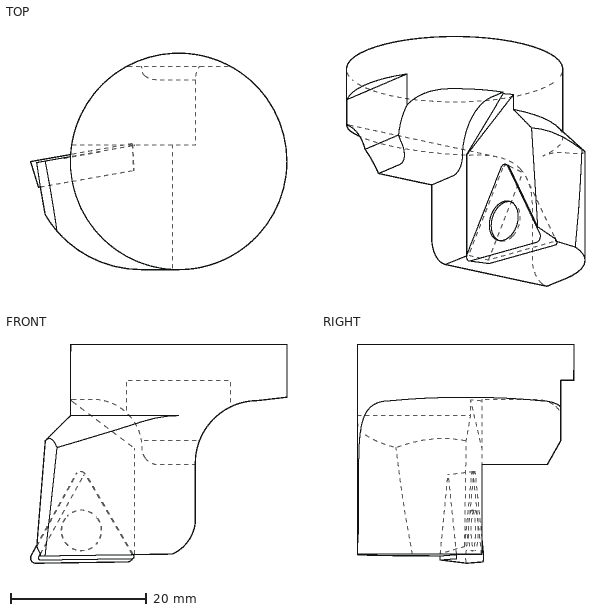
import cadquery as cq
import math

shank_radius = 16.0
below_all = -40.0
beyond = 30.0

cone_top_z = -10.5
cone_half_angle = 45.0
shoulder_radius = 16.5
shoulder_center_x = -5.5
shoulder_back_y = 4.0

underside_z = -31.15
edge_tilt = 0.8

insert_yaw = 10.0
relief_lean = 4.75
relief_x = -18.52

gullet_wall_x = 2.47
gullet_radius = 9.2
gullet_arc_end_z = -17.5
gullet_rim_z = -7.8
heel_start_z = -26.3
heel_mid = (1.0, -29.55)
heel_end_x = -0.94

blade_back_y = 2.42
pocket_roof_z = -8.1
pocket_radius = 7.25
pocket_wall_x = -5.4
rib_round = 2.4
rib_back_y = 14.04
rib_flat_top_z = -5.3
rib_flat_bottom_z = -14.2
rib_toe_y = 12.04

insert_stand_out = 0.32
rake_end_x = -6.5
web_outer_z = -8.2

inscribed_diameter = 9.525
nose_radius = 0.8
insert_thickness = 3.97
clearance_angle = 7.0
recess_diameter = 6.0
recess_depth = 0.4
insert_center = (-14.39, 1.31, -27.46)

yaw = math.radians(insert_yaw)
along_insert = (math.cos(yaw), math.sin(yaw), 0)
insert_normal = (-math.sin(yaw), math.cos(yaw), 0)
insert_face = cq.Plane(origin=insert_center, xDir=along_insert, normal=insert_normal)
pocket_floor_z = pocket_roof_z - pocket_radius - rib_round


def underside_height(x):
    return underside_z + (x - insert_center[0]) * math.tan(math.radians(edge_tilt))


def along_y(outline, y_start, y_end):
    """Extrude an outline on the XZ plane from y_start to y_end."""
    return outline.extrude(-(y_end - y_start)).translate((0, y_start, 0))


def make_shoulder():
    arc_center_y = shoulder_radius - shank_radius
    arc_half = shoulder_radius * math.sqrt(0.5)
    plan = (
        cq.Workplane("XY")
        .moveTo(0, -shank_radius)
        .lineTo(shoulder_center_x, -shank_radius)
        .threePointArc(
            (shoulder_center_x - arc_half, arc_center_y - arc_half),
            (shoulder_center_x - shoulder_radius, arc_center_y),
        )
        .lineTo(shoulder_center_x - shoulder_radius, shoulder_back_y)
        .lineTo(0, shoulder_back_y)
        .close()
        .extrude(below_all)
    )
    drop = cone_top_z - below_all
    cone = cq.Workplane("XY").add(
        cq.Solid.makeCone(
            shank_radius + drop * math.tan(math.radians(cone_half_angle)),
            shank_radius,
            drop,
            pnt=cq.Vector(0, 0, below_all),
        )
    )
    return plan.intersect(cone)


def make_relief_cut():
    """Everything outside the yawed, leaning relief plane."""
    lean = math.tan(math.radians(relief_lean))
    outward = cq.Vector(-1, -math.tan(yaw), lean)
    plane = cq.Plane(origin=(relief_x, 0, 0), xDir=insert_normal, normal=outward)
    return cq.Workplane(plane).rect(4 * beyond, 4 * beyond).extrude(beyond)


def make_underside_cut():
    outline = (
        cq.Workplane("XZ")
        .moveTo(-beyond, underside_height(-beyond))
        .lineTo(beyond, underside_height(beyond))
        .lineTo(beyond, below_all)
        .lineTo(-beyond, below_all)
        .close()
    )
    return along_y(outline, -beyond, beyond)


def make_gullet():
    arc_half = gullet_radius * math.sqrt(0.5)
    arc_center_x = gullet_wall_x + gullet_radius
    outline = (
        cq.Workplane("XZ")
        .moveTo(shank_radius, gullet_rim_z)
        .lineTo(arc_center_x, gullet_arc_end_z + gullet_radius)
        .threePointArc(
            (arc_center_x - arc_half, gullet_arc_end_z + arc_half),
            (gullet_wall_x, gullet_arc_end_z),
        )
        .lineTo(gullet_wall_x, heel_start_z)
        .threePointArc(heel_mid, (heel_end_x, underside_height(heel_end_x)))
        .lineTo(heel_end_x, below_all)
        .lineTo(beyond, below_all)
        .lineTo(beyond, gullet_rim_z)
        .close()
    )
    return along_y(outline, -beyond, beyond)


def make_chip_pocket():
    arc_center_x = pocket_wall_x - pocket_radius
    arc_center_z = pocket_roof_z - pocket_radius
    arc_half = pocket_radius * math.sqrt(0.5)
    round_center_x = pocket_wall_x + rib_round
    round_half = rib_round * math.sqrt(0.5)
    outline = (
        cq.Workplane("XZ")
        .moveTo(-beyond, pocket_roof_z)
        .lineTo(arc_center_x, pocket_roof_z)
        .threePointArc(
            (arc_center_x + arc_half, arc_center_z + arc_half),
            (pocket_wall_x, arc_center_z),
        )
        .threePointArc(
            (round_center_x - round_half, arc_center_z - round_half),
            (round_center_x, pocket_floor_z),
        )
        .lineTo(beyond, pocket_floor_z)
        .lineTo(beyond, below_all)
        .lineTo(-beyond, below_all)
        .close()
    )
    return along_y(outline, blade_back_y, beyond)


def make_rib_back_cut():
    outline = (
        cq.Workplane("YZ")
        .moveTo(beyond, rib_flat_top_z)
        .lineTo(rib_back_y, rib_flat_top_z)
        .lineTo(rib_back_y, rib_flat_bottom_z)
        .lineTo(rib_toe_y, pocket_floor_z)
        .lineTo(beyond, pocket_floor_z)
        .close()
    )
    return outline.extrude(beyond, both=True)


def make_rake_cut():
    """Space in front of the rake face, below the sloping web."""
    web_inner_z = pocket_roof_z - pocket_radius
    outline = (
        cq.Workplane("XZ")
        .moveTo(-beyond, web_outer_z)
        .lineTo(-shank_radius, web_outer_z)
        .lineTo(rake_end_x, web_inner_z)
        .lineTo(rake_end_x, below_all)
        .lineTo(-beyond, below_all)
        .close()
    )
    in_front = (
        cq.Workplane(insert_face)
        .workplane(offset=-insert_stand_out)
        .rect(4 * beyond, 4 * beyond)
        .extrude(beyond)
    )
    return along_y(outline, -beyond, beyond).intersect(in_front)


def make_insert_blank():
    """Insert without its recess, tapering back from the front face."""
    corner_angles = [math.radians(angle - edge_tilt) for angle in (30, 150, 270)]
    corners = [
        (inscribed_diameter * math.cos(angle), inscribed_diameter * math.sin(angle))
        for angle in corner_angles
    ]
    outline = cq.Sketch().polygon(corners + corners[:1]).vertices().fillet(nose_radius)
    return (
        cq.Workplane(insert_face)
        .placeSketch(outline)
        .extrude(-insert_thickness, taper=clearance_angle)
    )


def make_insert():
    """Insert with a shallow round recess in the middle of its front face."""
    recess = cq.Workplane(insert_face).circle(recess_diameter / 2).extrude(-recess_depth)
    return make_insert_blank().cut(recess)


def make_head():
    head = cq.Workplane("XY").circle(shank_radius).extrude(below_all)
    head = head.union(make_shoulder())
    head = head.cut(make_relief_cut())
    head = head.cut(make_underside_cut())
    head = head.cut(make_gullet())
    head = head.cut(make_chip_pocket())
    head = head.cut(make_rib_back_cut())
    head = head.cut(make_rake_cut())
    return head.cut(make_insert_blank())


head = make_head()
insert = make_insert()
result = cq.Compound.makeCompound([*head.solids().vals(), *insert.solids().vals()])